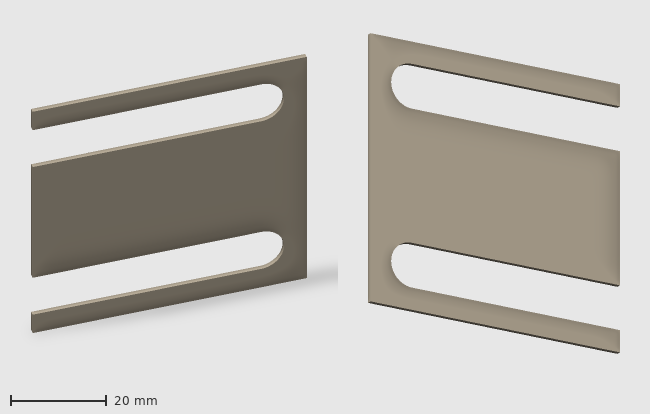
import cadquery as cq

side = 60.0
thickness = 1.0

slot_width = 10.0
slot_spacing = 40.0
end_margin = 5.0

slot_radius = slot_width / 2
open_edge_y = -side / 2
arc_center_y = side / 2 - end_margin - slot_radius


def slot_cutter(center_z):
    """Solid of one open slot, straight from the -Y edge to its round end."""
    bottom_z = center_z - slot_radius
    top_z = center_z + slot_radius
    return (
        cq.Workplane("YZ")
        .moveTo(open_edge_y, bottom_z)
        .lineTo(arc_center_y, bottom_z)
        .threePointArc((arc_center_y + slot_radius, center_z), (arc_center_y, top_z))
        .lineTo(open_edge_y, top_z)
        .close()
        .extrude(thickness / 2, both=True)
    )


result = cq.Workplane("XY").box(thickness, side, side)
for center_z in (-slot_spacing / 2, slot_spacing / 2):
    result = result.cut(slot_cutter(center_z))